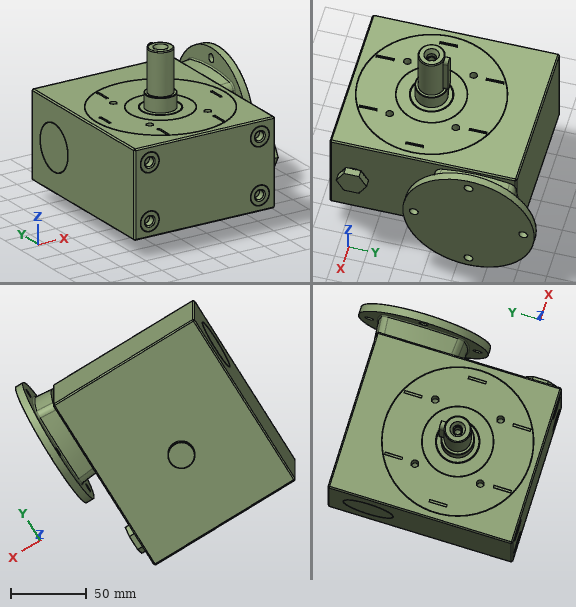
import cadquery as cq
import math


body_width = 110.0
body_length = 128.0
body_height = 65.2
body_chamfer = 1.0
overall_height = 120.5
half_width = body_width / 2
half_height = body_height / 2
front_y = -half_width

worm_offset = 45.0
flange_diameter = 90.0
flange_thickness = 5.5
flange_hole_diameter = 6.0
flange_hole_circle = 75.0
flange_hole_count = 4
neck_length = 12.9
neck_root_half_width = 30.0
neck_flare = 1.2
neck_bulge = 3.2
neck_corner_radius = 5.8
neck_fillet = 1.0

shaft_diameter = 18.0
shaft_top = overall_height - flange_diameter / 2
shaft_bottom = -37.7
shaft_chamfer = 0.7
collar_diameter = 22.0
collar_top = 43.4
collar_chamfer = 0.5
clip_groove_diameter = 16.5
clip_groove_bottom = -33.5
stub_chamfer = 0.5

key_width = 6.0
key_length = 30.6
key_reach = 12.0
key_bottom_gap = 0.5

centre_mouth_diameter = 10.2
centre_bore_diameter = 6.5
centre_tap_diameter = 5.0
centre_bore_depth = 5.8
centre_tap_depth = 14.5
centre_cone_angle = 60.0
drill_point_angle = 118.0

joint_width = 0.5
cover_diameter = 100.9
hub_diameter = 47.8
seal_diameter = 29.5
seal_groove_width = 0.7
slot_circle = 87.0
slot_count = 6
slot_length = 12.0
slot_width = 1.6
slot_depth = 1.0
tap_diameter = 5.0
tap_circle = 64.1
tap_depth = 10.2

cap_diameter = 35.0

screw_spacing_x = 86.1
screw_spacing_z = 42.0
screw_seat_diameter = 15.0
socket_diameter = 6.7
socket_mouth_diameter = 8.4
socket_depth = 5.8

plug_y = -38.5
plug_across_flats = 18.0
plug_head_height = 5.2
plug_neck_diameter = 16.5
plug_neck_length = 1.0

top_face = cq.Plane.XY(origin=(0, 0, half_height))
front_face = cq.Plane.XZ(origin=(0, front_y, 0))
left_face = cq.Plane(origin=(-half_width, 0, 0), xDir=(0, -1, 0), normal=(-1, 0, 0))
right_face = cq.Plane(origin=(half_width, 0, 0), xDir=(0, 1, 0), normal=(1, 0, 0))


def turned(profile, plane, centre=(0, 0)):
    """Revolve a (radius, height) outline about the normal of a plane."""
    origin = plane.toWorldCoords((centre[0], centre[1], 0))
    half_section = cq.Plane(origin=origin, xDir=plane.xDir, normal=-plane.yDir)
    return cq.Workplane(half_section).polyline(profile).close().revolve(360, (0, 0), (0, 1))


def v_groove(outer_diameter, width, plane, centre=(0, 0)):
    """Ring-shaped V groove left by the chamfered rims of two mating parts."""
    outer = outer_diameter / 2
    return turned([(outer, 0), (outer - width / 2, -width / 2), (outer - width, 0)], plane, centre)


def drill_point(diameter):
    """Height of the cone at the end of a drilled hole."""
    return diameter / 2 / math.tan(math.radians(drill_point_angle / 2))


def make_body():
    return (
        cq.Workplane("XY")
        .box(body_width, body_length, body_height)
        .translate((0, front_y + body_length / 2, 0))
        .edges()
        .chamfer(body_chamfer)
    )


def neck_outline(half_size):
    """Square with bulged sides and rounded corners, half_size from centre to mid-side."""
    corner = half_size - neck_bulge
    return (
        cq.Sketch()
        .arc((corner, corner), (0, half_size), (-corner, corner))
        .arc((-corner, corner), (-half_size, 0), (-corner, -corner))
        .arc((-corner, -corner), (0, -half_size), (corner, -corner))
        .arc((corner, -corner), (half_size, 0), (corner, corner))
        .assemble()
        .vertices()
        .fillet(neck_corner_radius)
    )


def add_flange(body):
    """Round flange on a flared neck with four bolt holes."""
    worm_face = cq.Workplane(right_face).center(worm_offset, 0)
    root = neck_outline(neck_root_half_width)
    tip = neck_outline(neck_root_half_width + neck_flare).moved(cq.Location(cq.Vector(0, 0, neck_length)))
    neck = worm_face.placeSketch(root, tip).loft()
    flange_face = worm_face.workplane(offset=neck_length)
    disc = flange_face.circle(flange_diameter / 2).extrude(flange_thickness)
    flange_x = half_width + neck_length
    box_reach = flange_hole_circle / 2
    box_depth = neck_fillet / 2
    joint_edges = cq.selectors.BoxSelector(
        (flange_x - box_depth, worm_offset - box_reach, -box_reach),
        (flange_x + box_depth, worm_offset + box_reach, box_reach),
        boundingbox=True,
    )
    flange = neck.union(disc).edges(joint_edges).fillet(neck_fillet)
    holes = (
        flange_face.polarArray(flange_hole_circle / 2, 0, 360, flange_hole_count)
        .circle(flange_hole_diameter / 2)
        .extrude(flange_thickness)
    )
    return body.union(flange.cut(holes))


def cut_cover(body):
    """Cover joint rings, seal groove, screw slots and tapped holes in the top face."""
    for diameter, width in (
        (cover_diameter, joint_width),
        (hub_diameter, joint_width),
        (seal_diameter, seal_groove_width),
    ):
        body = body.cut(v_groove(diameter, width, top_face))
    slots = (
        cq.Workplane(top_face)
        .polarArray(slot_circle / 2, 0, 360, slot_count, rotate=False)
        .rect(slot_width, slot_length)
        .extrude(-slot_depth)
    )
    body = body.cut(slots)
    tap_offset = tap_circle / 2 / math.sqrt(2)
    tap_radius = tap_diameter / 2
    tap_profile = [
        (0, 0),
        (tap_radius, 0),
        (tap_radius, -tap_depth),
        (0, -tap_depth - drill_point(tap_diameter)),
    ]
    for x in (-tap_offset, tap_offset):
        for y in (-tap_offset, tap_offset):
            body = body.cut(turned(tap_profile, top_face, (x, y)))
    return body


def cut_front_screws(body):
    """Recessed heads of the four front screws: a seat ring around a countersunk socket."""
    mouth = socket_mouth_diameter / 2
    bore = socket_diameter / 2
    socket_profile = [
        (0, 0),
        (mouth, 0),
        (bore, bore - mouth),
        (bore, -socket_depth),
        (0, -socket_depth),
    ]
    for x in (-screw_spacing_x / 2, screw_spacing_x / 2):
        for z in (-screw_spacing_z / 2, screw_spacing_z / 2):
            body = body.cut(v_groove(screw_seat_diameter, joint_width, front_face, (x, z)))
            body = body.cut(turned(socket_profile, front_face, (x, z)))
    return body


def make_shaft():
    """Stepped output shaft with a clip groove on its lower stub."""
    radius = shaft_diameter / 2
    collar = collar_diameter / 2
    neck = clip_groove_diameter / 2
    return turned(
        [
            (0, shaft_bottom),
            (radius - stub_chamfer, shaft_bottom),
            (radius, shaft_bottom + stub_chamfer),
            (radius, clip_groove_bottom),
            (neck, clip_groove_bottom),
            (neck, 0),
            (collar, 0),
            (collar, collar_top - collar_chamfer),
            (collar - collar_chamfer, collar_top),
            (radius, collar_top),
            (radius, shaft_top - shaft_chamfer),
            (radius - shaft_chamfer, shaft_top),
            (0, shaft_top),
        ],
        cq.Plane.XY(),
    )


def make_key():
    """Round-ended key standing in the +Y side of the shaft."""
    middle_z = collar_top + key_bottom_gap + key_length / 2
    return (
        cq.Workplane("XZ", origin=(0, 0, middle_z))
        .slot2D(key_length, key_width, 90)
        .extrude(-key_reach)
    )


def make_centre_hole():
    """Countersunk, stepped centre hole in the top end of the shaft."""
    mouth = centre_mouth_diameter / 2
    bore = centre_bore_diameter / 2
    tap = centre_tap_diameter / 2
    cone_depth = (mouth - bore) / math.tan(math.radians(centre_cone_angle / 2))
    return turned(
        [
            (0, 0),
            (mouth, 0),
            (bore, -cone_depth),
            (bore, -centre_bore_depth),
            (tap, -centre_bore_depth),
            (tap, -centre_tap_depth),
            (0, -centre_tap_depth - drill_point(centre_tap_diameter)),
        ],
        cq.Plane.XY(origin=(0, 0, shaft_top)),
    )


def make_plug():
    """Hexagonal plug head with two corners along Y, on a short round neck."""
    face = cq.Workplane(right_face).center(plug_y, 0)
    across_corners = plug_across_flats / math.cos(math.pi / 6)
    neck = face.circle(plug_neck_diameter / 2).extrude(plug_neck_length)
    head = face.workplane(offset=plug_neck_length).polygon(6, across_corners).extrude(plug_head_height)
    return neck.union(head)


result = add_flange(make_body())
result = cut_cover(result)
result = cut_front_screws(result)
result = result.cut(v_groove(cap_diameter, joint_width, left_face, (-worm_offset, 0)))
result = result.union(make_shaft()).union(make_key()).cut(make_centre_hole())
result = result.union(make_plug())